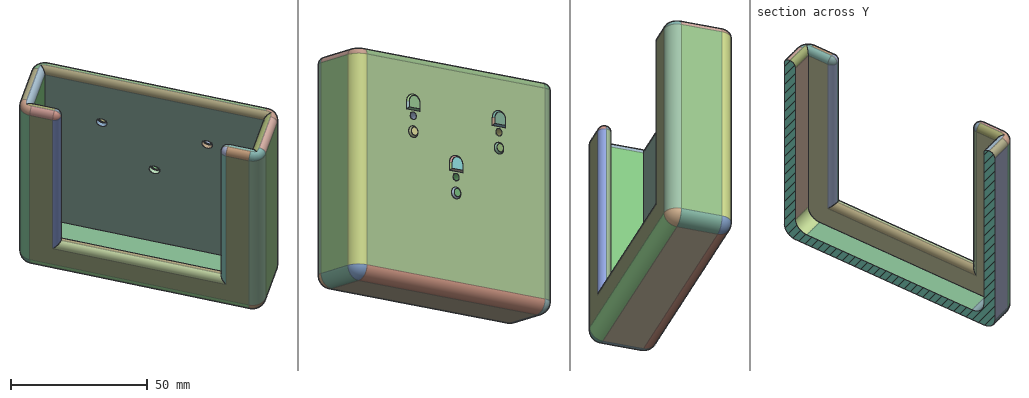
import cadquery as cq

width = 93.16
height = 86.91
overall_depth = 26.55
mark_height = 0.8
depth = overall_depth - mark_height
wall = 5.08
outer_radius = 5.0
rim_radius = 2.5
pocket_corner_radius = 5.0

window_border = 16.2
window_width = width - 2 * window_border

hole_diameter = 2.8
counterbore_diameter = 4.0
counterbore_depth = 1.7
hole_pitch = 20.0
upper_hole_z = 64.5
lower_hole_z = upper_hole_z - hole_pitch
hole_points = [(-hole_pitch, upper_hole_z), (hole_pitch, upper_hole_z), (0, lower_hole_z)]

mark_taper = 40
arch_radius = 3.15
arch_leg = 2.9
arch_offset = 5.0
dot_diameter = 4.4
dot_offset = -6.0

pick_margin = 0.01


def make_block():
    """Square-edged envelope of the tray."""
    return cq.Workplane("XY").box(width, depth, height, centered=(True, False, False))


def make_rounded_block():
    """Envelope with rounded upright and bottom edges and a smaller radius along the top."""
    block = make_block().edges("|Z or <Z").fillet(outer_radius)
    return block.faces(">Z").edges().fillet(rim_radius)


def make_shell():
    """Square-edged tray with a pocket and a front window, both open at the top."""
    pocket_width = width - 2 * wall
    pocket_depth = depth - 2 * wall
    pocket = (
        cq.Workplane("XY")
        .box(pocket_width, pocket_depth, height, centered=(True, False, False))
        .edges("|Y and <Z")
        .fillet(pocket_corner_radius)
        .translate((0, wall, wall))
    )
    window = (
        cq.Workplane("XY")
        .box(window_width, wall, height, centered=(True, False, False))
        .translate((0, 0, window_border))
    )
    return make_block().cut(pocket).cut(window)


def round_rims(shell):
    """Round the top rim and both sides of the window edge."""
    side = window_width / 2 + pick_margin
    window_zone = cq.selectors.BoxSelector(
        (-side, -pick_margin, window_border - pick_margin),
        (side, wall + pick_margin, height + pick_margin),
        boundingbox=True,
    )
    window_edges = shell.edges(window_zone).edges("|X or |Z")
    return shell.faces(">Z").edges().add(window_edges).fillet(rim_radius)


def back_plane(y, z):
    """Sketch plane facing +Y, with local x along -X and local y along +Z."""
    return cq.Plane(origin=(0, y, z), xDir=(-1, 0, 0), normal=(0, 1, 0))


def drill_hole(x, z):
    """Stepped hole through the back wall, wide end inside the pocket."""
    plane = cq.Workplane(back_plane(depth - wall, z)).center(-x, 0)
    through = plane.circle(hole_diameter / 2).extrude(wall + mark_height)
    counterbore = plane.circle(counterbore_diameter / 2).extrude(counterbore_depth)
    return through.union(counterbore)


def raised_marks(x, z):
    """Arch above and round dot below one hole, both tapering away from the back."""
    plane = cq.Workplane(back_plane(depth, z)).center(-x, 0)
    arch = (
        plane.center(0, arch_offset)
        .moveTo(-arch_radius, -arch_leg)
        .lineTo(-arch_radius, 0)
        .threePointArc((0, arch_radius), (arch_radius, 0))
        .lineTo(arch_radius, -arch_leg)
        .close()
        .extrude(mark_height, taper=mark_taper)
    )
    dot = plane.center(0, dot_offset).circle(dot_diameter / 2).extrude(mark_height, taper=mark_taper)
    return arch.union(dot)


result = round_rims(make_shell()).intersect(make_rounded_block())
for hole_x, hole_z in hole_points:
    result = result.union(raised_marks(hole_x, hole_z)).cut(drill_hole(hole_x, hole_z))